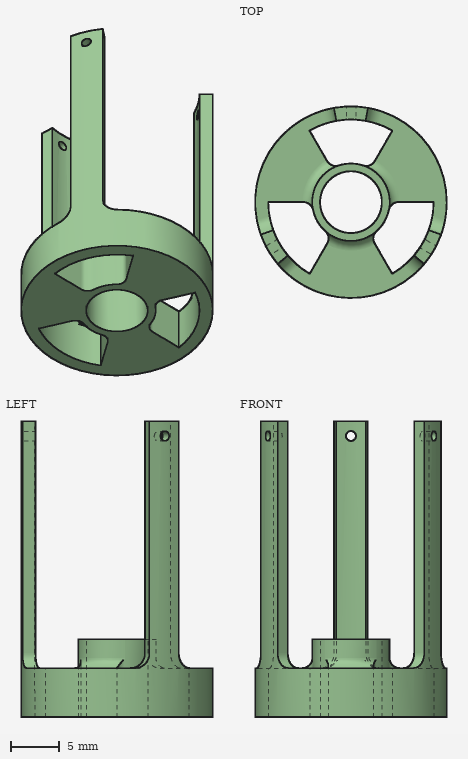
import cadquery as cq
import math

outer_radius = 9.88
total_height = 30.48
base_height = 5.05

hub_radius = 4.0
bore_diameter = 6.35
hub_height = 8.05
hub_fillet = 1.0

arm_angles = (90, 210, 330)
rim_thickness = 1.37
inner_radius = outer_radius - rim_thickness
window_span = 60.0
window_corner_radius = 1.0
arm_span = 20.4
arm_foot_fillet = 1.52

gap_clearance = 1.52

pin_diameter = 1.0
pin_drop = 1.52


def polar(radius, degrees):
    """Point at the given radius and angle in the XY plane."""
    angle = math.radians(degrees)
    return (radius * math.cos(angle), radius * math.sin(angle))


def ring_sector(inner, outer, span, height):
    """Annular sector with radial sides, centred on the +X axis."""
    half = span / 2
    return (
        cq.Workplane("XY")
        .moveTo(*polar(inner, -half))
        .lineTo(*polar(outer, -half))
        .threePointArc((outer, 0), polar(outer, half))
        .lineTo(*polar(inner, half))
        .threePointArc((inner, 0), polar(inner, -half))
        .close()
        .extrude(height)
    )


def at_each_arm(shape):
    """Yield the shape turned from the +X axis to every arm position."""
    for angle in arm_angles:
        yield shape.rotate((0, 0, 0), (0, 0, 1), angle)


bore_radius = bore_diameter / 2
fillet_top = base_height + hub_fillet
fillet_outer = hub_radius + hub_fillet
arc_offset = hub_fillet * (1 - math.sqrt(0.5))
body = (
    cq.Workplane("XZ")
    .moveTo(bore_radius, 0)
    .lineTo(outer_radius, 0)
    .lineTo(outer_radius, total_height)
    .lineTo(inner_radius, total_height)
    .lineTo(inner_radius, base_height)
    .lineTo(fillet_outer, base_height)
    .threePointArc((hub_radius + arc_offset, base_height + arc_offset), (hub_radius, fillet_top))
    .lineTo(hub_radius, hub_height)
    .lineTo(bore_radius, hub_height)
    .close()
    .revolve(360, (0, 0, 0), (0, 1, 0))
)

gap_span = 360 / len(arm_angles) - arm_span
gap = ring_sector(fillet_outer + gap_clearance, outer_radius + gap_clearance, gap_span, total_height)
gap = gap.faces("<Z").edges("%LINE").fillet(arm_foot_fillet)
gap = gap.translate((0, 0, base_height))
for opening in at_each_arm(gap.rotate((0, 0, 0), (0, 0, 1), 180)):
    body = body.cut(opening)

window = ring_sector(hub_radius, inner_radius, window_span, total_height)
hub_side = cq.selectors.BoxSelector((0, -hub_radius, 0), (hub_radius, hub_radius, total_height))
window = window.edges("|Z").edges(hub_side).fillet(window_corner_radius)
for opening in at_each_arm(window):
    body = body.cut(opening, clean=False)

pin_hole = (
    cq.Workplane("YZ")
    .center(0, total_height - pin_drop)
    .circle(pin_diameter / 2)
    .extrude(outer_radius + rim_thickness)
)
for hole in at_each_arm(pin_hole):
    body = body.cut(hole, clean=False)

result = body